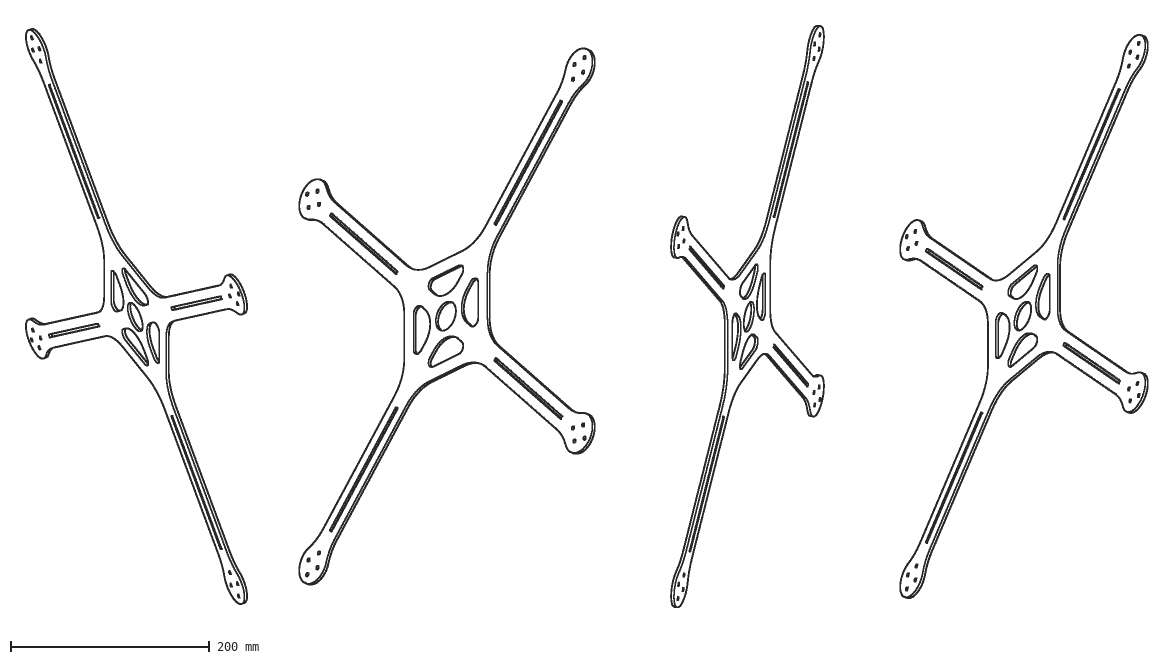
import cadquery as cq
import math

overall = 448.3
thickness = 3.2

pad_radius = 21.0
arm_width = 25.0
hub_side = 127.5
hub_fillet = 50.0
neck_fillet = 50.0

hub_hole_diameter = 30.5
window_outer = 49.5
window_web = 19.0
window_tip_fillet = 26.0
window_corner_fillet = 6.5

slot_start = 106.2
slot_end = 249.2
slot_width = 3.0

mount_hole_diameter = 3.5
mount_spacing_along = 25.0
mount_spacing_across = 19.0

pad_offset = overall / 2 - pad_radius
pad_distance = pad_offset * math.sqrt(2)
window_tip = window_web / math.sqrt(2)
arm_angles = (45, 135, 225, 315)
window_angles = (0, 90, 180, 270)


def plate(sketch):
    """Extrude an outline on the XZ plane through the full thickness, centred on Y = 0."""
    return sketch.extrude(thickness / 2, both=True)


def turned(body, angle):
    """Turn a body about the frame's Y axis."""
    return body.rotate((0, 0, 0), (0, 1, 0), angle)


def frame_blank():
    """Square hub with four diagonal arms ending in round motor pads."""
    arm = plate(cq.Workplane("XZ").center(pad_distance / 2, 0).rect(pad_distance, arm_width))
    pad = plate(cq.Workplane("XZ").center(pad_distance, 0).circle(pad_radius))
    blank = plate(cq.Workplane("XZ").rect(hub_side, hub_side))
    for angle in arm_angles:
        blank = blank.union(turned(arm.union(pad), angle))
    return blank


def corners_between(body, inner, outer):
    """Edges through the thickness whose distance from the hub centre is within the range."""
    def in_range(edge):
        centre = edge.Center()
        return inner < math.hypot(centre.x, centre.z) < outer

    return body.edges("|Y").filter(in_range)


def round_inside_corners(body):
    """Blend the arms into the hub and into the pads."""
    body = corners_between(body, 0, hub_side).fillet(hub_fillet)
    return corners_between(body, pad_distance - pad_radius, pad_distance).fillet(neck_fillet)


def window_cutter():
    """Rounded triangular lightening window on the +X side of the hub."""
    half_side = window_outer - window_tip
    triangle = [(window_tip, 0), (window_outer, half_side), (window_outer, -half_side)]
    cutter = plate(cq.Workplane("XZ").polyline(triangle).close())
    cutter = cutter.edges("|Y and <X").fillet(window_tip_fillet)
    return cutter.edges("|Y and (>Z or <Z)").fillet(window_corner_fillet)


def arm_cutter():
    """Long slot and four motor mounting holes of an arm lying along +X."""
    slot_middle = (slot_start + slot_end) / 2
    slot = plate(cq.Workplane("XZ").center(slot_middle, 0).rect(slot_end - slot_start, slot_width))
    half_along = mount_spacing_along / 2
    half_across = mount_spacing_across / 2
    hole_points = [(half_along, 0), (-half_along, 0), (0, half_across), (0, -half_across)]
    holes = cq.Workplane("XZ").center(pad_distance, 0).pushPoints(hole_points)
    return slot.union(plate(holes.circle(mount_hole_diameter / 2)))


frame = round_inside_corners(frame_blank())
frame = frame.cut(plate(cq.Workplane("XZ").circle(hub_hole_diameter / 2)))
for angle in window_angles:
    frame = frame.cut(turned(window_cutter(), angle))
for angle in arm_angles:
    frame = frame.cut(turned(arm_cutter(), angle))

result = frame